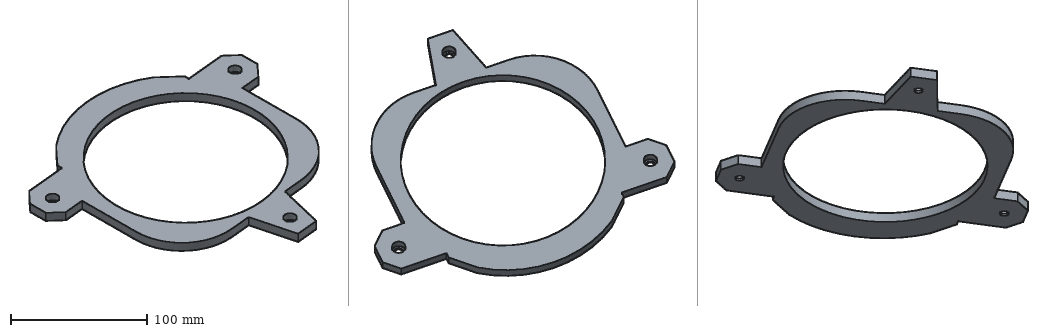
import cadquery as cq

thickness = 8.0
total_x = 217.5
half_height = 116.0
opening_diameter = 150.0
nose_tip_x = 120.2
left_x = nose_tip_x - total_x

body_right = 80.3
body_half_height = 88.0
corner_radius = 50.0
flank_end_x = -63.8
flank_end_y = 69.5
flank_leg = 16.2

tab_left = -59.6
tab_width = 36.5
tab_chamfer = 10.5

nose_root_half = 20.0
nose_tip_half = 10.0

hole_diameter = 6.5
counterbore_diameter = 10.0
counterbore_depth = 6.0
tab_hole_x = tab_left + tab_width / 2
tab_hole_y = 100.0
nose_hole_x = 103.2
hole_centers = [(tab_hole_x, tab_hole_y), (tab_hole_x, -tab_hole_y), (nose_hole_x, 0)]


def make_body():
    """Plate body without tabs, nose or openings."""
    arc_end_x = flank_end_x - flank_leg
    arc_end_y = flank_end_y - flank_leg
    body = (
        cq.Workplane("XY")
        .moveTo(arc_end_x, -arc_end_y)
        .threePointArc((left_x, 0), (arc_end_x, arc_end_y))
        .lineTo(flank_end_x, flank_end_y)
        .lineTo(tab_left, flank_end_y)
        .lineTo(tab_left, body_half_height)
        .lineTo(body_right, body_half_height)
        .lineTo(body_right, -body_half_height)
        .lineTo(tab_left, -body_half_height)
        .lineTo(tab_left, -flank_end_y)
        .lineTo(flank_end_x, -flank_end_y)
        .close()
        .extrude(thickness)
    )
    return body.edges("|Z and >X").fillet(corner_radius)


def make_tabs():
    """One tall bar through the body forms both chamfered tabs."""
    return (
        cq.Workplane("XY")
        .center(tab_hole_x, 0)
        .rect(tab_width, 2 * half_height)
        .extrude(thickness)
        .edges("|Z")
        .chamfer(tab_chamfer)
    )


def make_nose():
    """Tapered mounting nose, rooted on the right edge of the body."""
    return (
        cq.Workplane("XY")
        .polyline([
            (body_right, -nose_root_half),
            (nose_tip_x, -nose_tip_half),
            (nose_tip_x, nose_tip_half),
            (body_right, nose_root_half),
        ])
        .close()
        .extrude(thickness)
    )


plate = make_body().union(make_tabs()).union(make_nose())
opening = cq.Workplane("XY").circle(opening_diameter / 2).extrude(thickness)
plate = plate.cut(opening)

result = (
    plate.faces(">Z")
    .workplane(origin=(0, 0, thickness))
    .pushPoints(hole_centers)
    .cboreHole(hole_diameter, counterbore_diameter, counterbore_depth)
)